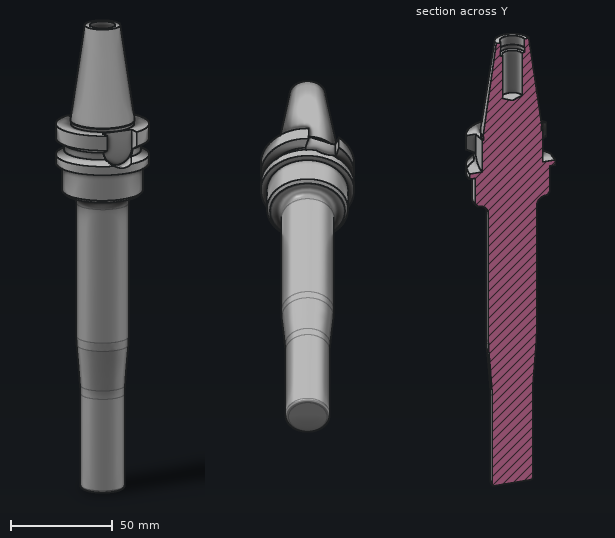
import math

import cadquery as cq

TOP_Z = 48.4
BOTTOM_Z = -188.0

GAUGE_DIAMETER = 31.75
TAPER_RATIO = 7 / 24
TAPER_TOP_DIAMETER = GAUGE_DIAMETER - TAPER_RATIO * TOP_Z

NECK_DIAMETER = 31.3
NECK_CHAMFER_HEIGHT = 0.5

FLANGE_DIAMETER = 45.98
FLANGE_TOP_Z = -2.0
FLANGE_BOTTOM_Z = -22.0
GROOVE_DIAMETER = 38.0
GROOVE_CENTER_Z = -13.5
GROOVE_FLOOR_WIDTH = 3.6
GROOVE_WALL_ANGLE = 30.0

KEYWAY_WIDTH = 16.1
KEYWAY_CORNER_RADIUS = 8.04
KEYWAY_FLOOR_OFFSET = 16.3
KEYWAY_BOTTOM_Z = -19.0

COLLAR_DIAMETER = 40.0
COLLAR_BOTTOM_Z = -37.3
COLLAR_CHAMFER = 1.5

SHANK_DIAMETER = 26.0
SHANK_FILLET = 5.0
CONE_TOP_Z = -112.6
CONE_BOTTOM_Z = -137.6
CONE_BLEND_RADIUS = 54.0
NOSE_DIAMETER = 22.0
NOSE_EDGE_FILLET = 1.5

STUD_BORE_DIAMETER = 12.51
STUD_BORE_DEPTH = 4.8
UNDERCUT_DIAMETER = 12.91
UNDERCUT_BOTTOM_DEPTH = 7.0
THREAD_CORE_DIAMETER = 10.25
THREAD_DEPTH = 30.0
DRILL_POINT_ANGLE = 140.0


def make_body():
    """Revolve the outer profile about Z."""
    flange_r = FLANGE_DIAMETER / 2
    groove_r = GROOVE_DIAMETER / 2
    shank_r = SHANK_DIAMETER / 2
    nose_r = NOSE_DIAMETER / 2
    collar_r = COLLAR_DIAMETER / 2
    neck_r = NECK_DIAMETER / 2
    floor_half = GROOVE_FLOOR_WIDTH / 2
    mouth_half = floor_half + (flange_r - groove_r) * math.tan(math.radians(GROOVE_WALL_ANGLE))

    slope = math.atan2(shank_r - nose_r, CONE_TOP_Z - CONE_BOTTOM_Z)
    blend_length = CONE_BLEND_RADIUS * math.tan(slope / 2)
    blend_dr = blend_length * math.sin(slope)
    blend_dz = blend_length * math.cos(slope)

    profile = (
        cq.Workplane("XZ")
        .moveTo(0, TOP_Z)
        .lineTo(TAPER_TOP_DIAMETER / 2, TOP_Z)
        .lineTo(GAUGE_DIAMETER / 2, 0)
        .lineTo(neck_r, -NECK_CHAMFER_HEIGHT)
        .lineTo(neck_r, FLANGE_TOP_Z)
        .lineTo(flange_r, FLANGE_TOP_Z)
        .lineTo(flange_r, GROOVE_CENTER_Z + mouth_half)
        .lineTo(groove_r, GROOVE_CENTER_Z + floor_half)
        .lineTo(groove_r, GROOVE_CENTER_Z - floor_half)
        .lineTo(flange_r, GROOVE_CENTER_Z - mouth_half)
        .lineTo(flange_r, FLANGE_BOTTOM_Z)
        .lineTo(collar_r, FLANGE_BOTTOM_Z)
        .lineTo(collar_r, COLLAR_BOTTOM_Z + COLLAR_CHAMFER)
        .lineTo(collar_r - COLLAR_CHAMFER, COLLAR_BOTTOM_Z)
        .lineTo(shank_r + SHANK_FILLET, COLLAR_BOTTOM_Z)
        .radiusArc((shank_r, COLLAR_BOTTOM_Z - SHANK_FILLET), -SHANK_FILLET)
        .lineTo(shank_r, CONE_TOP_Z + blend_length)
        .radiusArc((shank_r - blend_dr, CONE_TOP_Z - blend_dz), CONE_BLEND_RADIUS)
        .lineTo(nose_r + blend_dr, CONE_BOTTOM_Z + blend_dz)
        .radiusArc((nose_r, CONE_BOTTOM_Z - blend_length), -CONE_BLEND_RADIUS)
        .lineTo(nose_r, BOTTOM_Z + NOSE_EDGE_FILLET)
        .radiusArc((nose_r - NOSE_EDGE_FILLET, BOTTOM_Z), NOSE_EDGE_FILLET)
        .lineTo(0, BOTTOM_Z)
        .close()
    )
    return profile.revolve(360, (0, 0, 0), (0, 1, 0))


def make_keyway(side):
    """Slot with rounded lower corners, open at the flange top, on the +X (1) or -X (-1) flank."""
    height = FLANGE_TOP_Z - KEYWAY_BOTTOM_Z
    depth = FLANGE_DIAMETER / 2
    block = cq.Workplane("XY").box(depth, KEYWAY_WIDTH, height, centered=(True, True, False))
    block = block.edges("|X and <Z").fillet(KEYWAY_CORNER_RADIUS)
    return block.translate((side * (KEYWAY_FLOOR_OFFSET + depth / 2), 0, KEYWAY_BOTTOM_Z))


def make_stud_hole():
    """Blind hole with an undercut bore, a conical step and a conical drill point."""
    bore_r = STUD_BORE_DIAMETER / 2
    undercut_r = UNDERCUT_DIAMETER / 2
    core_r = THREAD_CORE_DIAMETER / 2
    bore_bottom_z = TOP_Z - STUD_BORE_DEPTH
    undercut_bottom_z = TOP_Z - UNDERCUT_BOTTOM_DEPTH
    core_bottom_z = TOP_Z - THREAD_DEPTH
    cone_slope = 1 / math.tan(math.radians(DRILL_POINT_ANGLE / 2))
    profile = (
        cq.Workplane("XZ")
        .moveTo(0, TOP_Z)
        .lineTo(bore_r, TOP_Z)
        .lineTo(bore_r, bore_bottom_z)
        .lineTo(undercut_r, bore_bottom_z)
        .lineTo(undercut_r, undercut_bottom_z)
        .lineTo(core_r, undercut_bottom_z - (undercut_r - core_r) * cone_slope)
        .lineTo(core_r, core_bottom_z)
        .lineTo(0, core_bottom_z - core_r * cone_slope)
        .close()
    )
    return profile.revolve(360, (0, 0, 0), (0, 1, 0))


result = make_body().cut(make_stud_hole())
for side in (1, -1):
    result = result.cut(make_keyway(side))